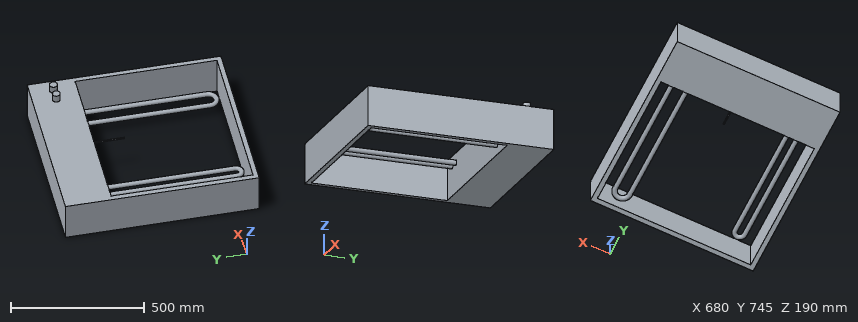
import cadquery as cq

width = 680.0
depth = 745.0
frame_height = 160.0
wall = 20.0
back_block_depth = 180.0

overall_height = 190.0
knob_diameter = 30.0
knob_pitch = 50.0
first_knob_x = 579.5

rod_diameter = 21.0
bend_center_y = 70.0
left_hairpin_x = 90.0
left_hairpin_pitch = 40.0
left_hairpin_z = 120.0
right_hairpin_x = 579.5
right_hairpin_pitch = 60.0
right_hairpin_z = 40.0

probe_diameter = 6.0
probe_length = 120.0
probe_z = 140.0

embed = 7.5

block_face_y = depth - back_block_depth


def make_frame():
    opening_size = (width - 2 * wall, block_face_y - wall, frame_height)
    opening = cq.Workplane("XY").box(*opening_size, centered=False).translate((wall, wall, 0))
    return cq.Workplane("XY").box(width, depth, frame_height, centered=False).cut(opening)


def make_knobs():
    knob_y = depth - back_block_depth / 2
    centers = [(first_knob_x, knob_y), (first_knob_x + knob_pitch, knob_y)]
    return (
        cq.Workplane("XY")
        .workplane(offset=frame_height)
        .pushPoints(centers)
        .circle(knob_diameter / 2)
        .extrude(overall_height - frame_height)
    )


def make_hairpin(center_x, pitch, z):
    """Two parallel rods joined by a semicircular bend at the front."""
    left_x = center_x - pitch / 2
    right_x = center_x + pitch / 2
    start_y = block_face_y + embed
    path = (
        cq.Workplane("XY", origin=(0, 0, z))
        .moveTo(left_x, start_y)
        .lineTo(left_x, bend_center_y)
        .threePointArc((center_x, bend_center_y - pitch / 2), (right_x, bend_center_y))
        .lineTo(right_x, start_y)
    )
    return cq.Workplane("XZ", origin=(left_x, start_y, z)).circle(rod_diameter / 2).sweep(path)


def make_probe():
    start = (width / 2, block_face_y + embed, probe_z)
    return cq.Workplane("XZ", origin=start).circle(probe_diameter / 2).extrude(probe_length + embed)


result = (
    make_frame()
    .union(make_knobs())
    .union(make_hairpin(left_hairpin_x, left_hairpin_pitch, left_hairpin_z))
    .union(make_hairpin(right_hairpin_x, right_hairpin_pitch, right_hairpin_z))
    .union(make_probe())
)